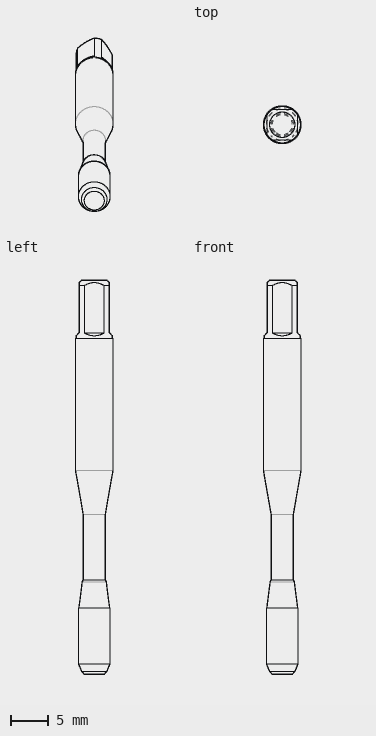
import cadquery as cq

total_length = 52.1

shank_diameter = 5.0
drive_diameter = 4.8
square_width = 4.0
square_bottom_z = 45.1
shank_top_z = 44.4
drive_chamfer = 0.75

neck_diameter = 2.95
neck_top_z = 21.15
shank_bottom_z = 26.95
neck_bottom_z = 12.5
collar_diameter = 3.25
collar_z = 12.2
core_diameter = 4.1

head_diameter = 4.2
head_top_z = 8.75
head_bottom_z = 1.4
bevel_diameter = 3.4
bevel_z = 0.4
tip_diameter = 2.65


def revolve_profile(points):
    """Turn a (radius, z) outline about the Z axis."""
    return cq.Workplane("XZ").polyline(points).close().revolve(360, (0, 0), (0, 1))


def flat_cutter():
    """Material outside one flat of the square, with a 45 degree run-out at its lower end."""
    flat_x = square_width / 2
    outer_x = shank_diameter
    runout = outer_x - flat_x
    outline = [
        (flat_x, total_length),
        (flat_x, square_bottom_z),
        (outer_x, square_bottom_z - runout),
        (outer_x, total_length),
    ]
    return cq.Workplane("XZ").polyline(outline).close().extrude(shank_diameter, both=True)


def make_shank():
    """Stepped shank from the square drive down to the top of the head."""
    drive_radius = drive_diameter / 2
    shank_radius = shank_diameter / 2
    neck_radius = neck_diameter / 2
    shank = revolve_profile([
        (0, total_length),
        (drive_radius - drive_chamfer, total_length),
        (drive_radius, total_length - drive_chamfer),
        (drive_radius, shank_top_z),
        (shank_radius, shank_top_z),
        (shank_radius, shank_bottom_z),
        (neck_radius, neck_top_z),
        (neck_radius, neck_bottom_z),
        (collar_diameter / 2, collar_z),
        (core_diameter / 2, head_top_z),
        (0, head_top_z),
    ])
    for side in range(4):
        shank = shank.cut(flat_cutter().rotate((0, 0, 0), (0, 0, 1), 90 * side))
    return shank


def make_head():
    """Cylindrical head with a tapered lead and a bevelled tip."""
    head_radius = head_diameter / 2
    return revolve_profile([
        (0, head_top_z),
        (head_radius, head_top_z),
        (head_radius, head_bottom_z),
        (bevel_diameter / 2, bevel_z),
        (tip_diameter / 2, 0),
        (0, 0),
    ])


shank = make_shank()
head = make_head()
result = cq.Compound.makeCompound([shank.val(), head.val()])